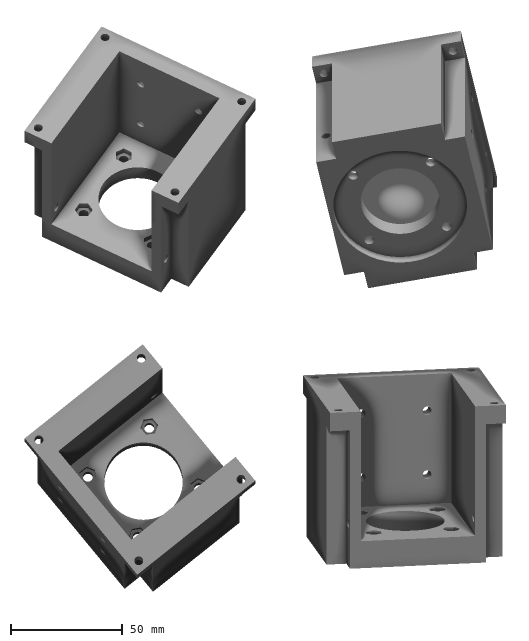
import cadquery as cq

width = 80.0
depth = 68.0
height = 72.5

flange_thickness = 8.5
relief = 9.0

cavity_width = 52.0
back_wall = 8.0
floor_thickness = 12.5
cavity_depth = depth - back_wall

screw_diameter = 4.0
flange_hole_inset = relief / 2
side_hole_inset = relief / 2
side_hole_height = 20.0
back_hole_spacing = 30.0
back_hole_span_z = 29.5
back_hole_low_z = 26.0

motor_center_y = 32.0
motor_bore_diameter = 35.2
motor_hole_spacing = 35.4
motor_hole_diameter = 4.5
nut_across_corners = 8.0
nut_pocket_depth = 3.0
motor_recess_diameter = 60.0
motor_plate_thickness = 8.0


def box(size_x, size_y, size_z, x, y, z):
    """Box centred on x, with its lowest Y and Z at y and z."""
    return (
        cq.Workplane("XY")
        .box(size_x, size_y, size_z, centered=(True, False, False))
        .translate((x, y, z))
    )


def cylinder(diameter, length, start, direction):
    return cq.Workplane(
        cq.Solid.makeCylinder(diameter / 2, length, cq.Vector(*start), cq.Vector(*direction))
    )


def cut_corner_reliefs(body):
    relief_height = height - flange_thickness
    for side in (-1, 1):
        for y in (0, depth - relief):
            x = side * (width - relief) / 2
            body = body.cut(box(relief, relief, relief_height, x, y, 0))
    return body


def cut_flange_holes(body):
    for side in (-1, 1):
        for y in (flange_hole_inset, depth - flange_hole_inset):
            start = (side * (width / 2 - flange_hole_inset), y, height - flange_thickness)
            body = body.cut(cylinder(screw_diameter, flange_thickness, start, (0, 0, 1)))
    return body


def cut_back_wall_holes(body):
    for side in (-1, 1):
        for z in (back_hole_low_z, back_hole_low_z + back_hole_span_z):
            start = (side * back_hole_spacing / 2, cavity_depth, z)
            body = body.cut(cylinder(screw_diameter, back_wall, start, (0, 1, 0)))
    return body


def cut_side_holes(body):
    """One straight bore crosses both side walls near the open front."""
    start = (-width / 2, side_hole_inset, side_hole_height)
    return body.cut(cylinder(screw_diameter, width, start, (1, 0, 0)))


def cut_motor_mount(body):
    start = (0, motor_center_y, 0)
    body = body.cut(cylinder(motor_bore_diameter, floor_thickness, start, (0, 0, 1)))
    recess_depth = floor_thickness - motor_plate_thickness
    body = body.cut(cylinder(motor_recess_diameter, recess_depth, start, (0, 0, 1)))
    for side_x in (-1, 1):
        for side_y in (-1, 1):
            x = side_x * motor_hole_spacing / 2
            y = motor_center_y + side_y * motor_hole_spacing / 2
            body = body.cut(cylinder(motor_hole_diameter, floor_thickness, (x, y, 0), (0, 0, 1)))
            turn = 90 if side_x == side_y else 0
            nut = (
                cq.Workplane("XY")
                .polygon(6, nut_across_corners)
                .extrude(nut_pocket_depth)
                .rotate((0, 0, 0), (0, 0, 1), turn)
                .translate((x, y, floor_thickness - nut_pocket_depth))
            )
            body = body.cut(nut)
    return body


result = box(width, depth, height, 0, 0, 0)
result = cut_corner_reliefs(result)
result = result.cut(
    box(cavity_width, cavity_depth, height - floor_thickness, 0, 0, floor_thickness)
)
result = cut_flange_holes(result)
result = cut_back_wall_holes(result)
result = cut_side_holes(result)
result = cut_motor_mount(result)